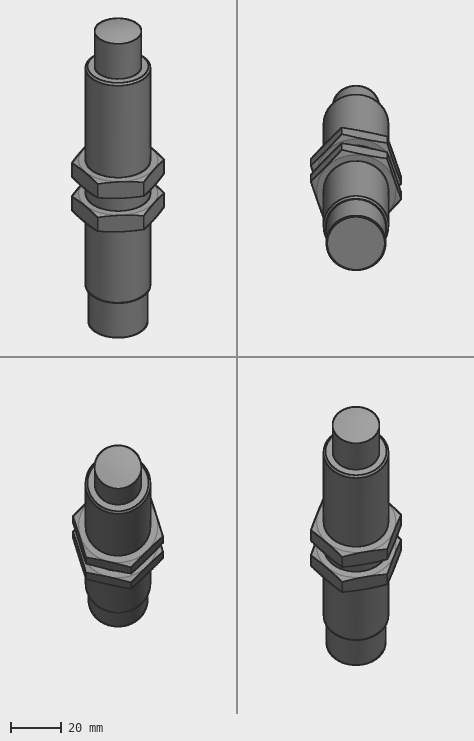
import cadquery as cq
import math

total_height = 140.0
barrel_diameter = 26.0
barrel_end_diameter = 24.4
barrel_chamfer = (barrel_diameter - barrel_end_diameter) / 2
rear_diameter = 23.8
rear_height = 17.0
rear_edge_chamfer = 0.4
nose_diameter = 18.8
nose_height = 17.9
dome_height = 1.1

nut_across_flats = 32.0
nut_thickness = 8.0
nut_face_diameter = 31.6
nut_chamfer_angle = 15.0
lower_nut_bottom = 53.5
nut_pitch = 16.0
nut_count = 2


def make_body():
    """Stepped sensor body, revolved about Z."""
    rear_radius = rear_diameter / 2
    barrel_radius = barrel_diameter / 2
    barrel_end_radius = barrel_end_diameter / 2
    nose_radius = nose_diameter / 2
    barrel_top = total_height - nose_height
    dome_base = total_height - dome_height

    sphere_radius = (nose_radius**2 + dome_height**2) / (2 * dome_height)
    arc_mid_radius = nose_radius / 2
    arc_mid_height = total_height - sphere_radius + math.sqrt(sphere_radius**2 - arc_mid_radius**2)

    return (
        cq.Workplane("XZ")
        .moveTo(0, 0)
        .lineTo(rear_radius - rear_edge_chamfer, 0)
        .lineTo(rear_radius, rear_edge_chamfer)
        .lineTo(rear_radius, rear_height)
        .lineTo(barrel_end_radius, rear_height)
        .lineTo(barrel_radius, rear_height + barrel_chamfer)
        .lineTo(barrel_radius, barrel_top - barrel_chamfer)
        .lineTo(barrel_end_radius, barrel_top)
        .lineTo(nose_radius, barrel_top)
        .lineTo(nose_radius, dome_base)
        .threePointArc((arc_mid_radius, arc_mid_height), (0, total_height))
        .close()
        .revolve(360, (0, 0, 0), (0, 1, 0))
    )


def make_nut(bottom):
    """Hexagonal nut with conically chamfered corners, bored to fit the barrel."""
    across_corners = nut_across_flats / math.cos(math.radians(30))
    corner_radius = across_corners / 2
    face_radius = nut_face_diameter / 2
    corner_drop = (corner_radius - face_radius) * math.tan(math.radians(nut_chamfer_angle))

    hexagon = cq.Workplane("XY").polygon(6, across_corners).extrude(nut_thickness)
    chamfer_envelope = (
        cq.Workplane("XZ")
        .moveTo(0, 0)
        .lineTo(face_radius, 0)
        .lineTo(corner_radius, corner_drop)
        .lineTo(corner_radius, nut_thickness - corner_drop)
        .lineTo(face_radius, nut_thickness)
        .lineTo(0, nut_thickness)
        .close()
        .revolve(360, (0, 0, 0), (0, 1, 0))
    )
    bore = cq.Workplane("XY").circle(barrel_diameter / 2).extrude(nut_thickness)
    return hexagon.intersect(chamfer_envelope).cut(bore).translate((0, 0, bottom))


body = make_body()
nuts = [make_nut(lower_nut_bottom + index * nut_pitch) for index in range(nut_count)]

result = cq.Compound.makeCompound([body.val(), *[nut.val() for nut in nuts]])